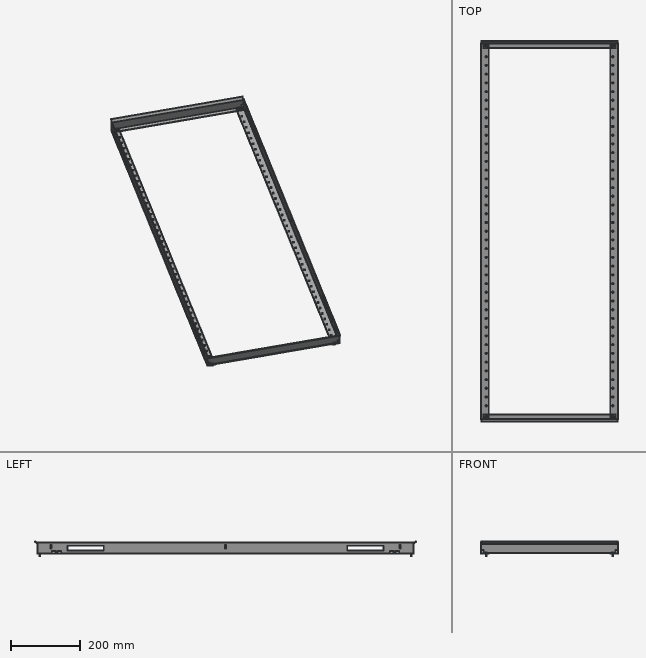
import cadquery as cq
import math

length = 1090.0
width = 392.0
sheet = 1.5

rail_height = 33.0
rail_flange = 23.0
lip_rise = 7.1
rail_length = length - 2 * lip_rise

end_hole_y = 499.0
holes_per_side = 20
hole_diameter = 3.0
hole_inset = 15.0
hole_pitch = end_hole_y / holes_per_side

key_slot_width = 2.7
key_slot_height = 10.0
key_slot_z = 21.0

grip_length = 102.0
grip_height = 13.0
grip_y = 400.0
grip_z = 16.0

window_length = 10.0
window_height = 6.0
window_z = 4.9
window_ys = (475.0, 492.0)

end_flange = 14.0
lip_top = 36.0
end_width = width - 2 * sheet
notch_width = 5.0
notch_top = 11.0

screw_diameter = 3.0
screw_drop = 7.0
head_diameter = 9.0
head_height = 1.5
screw_x = width / 2 - hole_inset
screw_y = rail_length / 2 - 7.0


def screw_holes():
    """Cutter for the four corner screws."""
    return (
        cq.Workplane("XY")
        .rect(2 * screw_x, 2 * screw_y, forConstruction=True)
        .vertices()
        .circle(screw_diameter / 2)
        .extrude(2 * sheet)
    )


def make_side_rail(side):
    """Side rail on the -X (side = -1) or +X (side = 1) side."""
    outer_x = side * width / 2
    wall = (
        cq.Workplane("XY")
        .box(sheet, rail_length, rail_height, centered=(True, True, False))
        .translate((outer_x - side * sheet / 2, 0, 0))
    )
    flange = (
        cq.Workplane("XY")
        .box(rail_flange, rail_length, sheet, centered=(True, True, False))
        .translate((outer_x - side * rail_flange / 2, 0, 0))
    )

    row = [(side * screw_x, i * hole_pitch) for i in range(-holes_per_side, holes_per_side + 1)]
    flange_holes = cq.Workplane("XY").pushPoints(row).circle(hole_diameter / 2).extrude(sheet)

    grips = (
        cq.Workplane("YZ")
        .pushPoints([(-grip_y, grip_z), (grip_y, grip_z)])
        .rect(grip_length, grip_height)
        .extrude(width, both=True)
    )
    key_slots = (
        cq.Workplane("YZ")
        .pushPoints([(y, key_slot_z) for y in (-end_hole_y, 0, end_hole_y)])
        .slot2D(key_slot_height, key_slot_width, 90)
        .extrude(width, both=True)
    )
    windows = (
        cq.Workplane("YZ")
        .pushPoints([(end * y, window_z) for end in (-1, 1) for y in window_ys])
        .rect(window_length, window_height)
        .extrude(width, both=True)
    )
    rail = wall.union(flange)
    return rail.cut(flange_holes).cut(grips).cut(key_slots).cut(windows).cut(screw_holes())


def make_end_rail(end):
    """End rail at the -Y (end = -1) or +Y (end = 1) end, resting on the side flanges."""
    outer_y = rail_length / 2
    inner_y = outer_y - sheet
    lip_edge = sheet / math.sqrt(2)
    outer_bend_z = lip_top - lip_edge - lip_rise
    inner_bend_z = outer_bend_z + sheet * math.tan(math.pi / 8)
    section = [
        (outer_y - end_flange, sheet),
        (outer_y, sheet),
        (outer_y, outer_bend_z),
        (outer_y + lip_rise, outer_bend_z + lip_rise),
        (outer_y + lip_rise - lip_edge, lip_top),
        (inner_y, inner_bend_z),
        (inner_y, 2 * sheet),
        (outer_y - end_flange, 2 * sheet),
    ]
    profile = [(end * y, z) for y, z in section]
    rail = cq.Workplane("YZ").polyline(profile).close().extrude(end_width / 2, both=True)

    notches = (
        cq.Workplane("XZ")
        .pushPoints([(-end_width / 2, 0), (end_width / 2, 0)])
        .rect(2 * notch_width, 2 * notch_top)
        .extrude(length, both=True)
    )
    return rail.cut(notches).cut(screw_holes())


def make_screw(x, y):
    """Screw with its head on the end flange and its shank pointing down."""
    shank = cq.Workplane("XY").circle(screw_diameter / 2).extrude(2 * sheet + screw_drop)
    shank = shank.translate((0, 0, -screw_drop))
    head = cq.Workplane("XY", origin=(0, 0, 2 * sheet)).circle(head_diameter / 2).extrude(head_height)
    return shank.union(head).translate((x, y, 0))


side_rails = [make_side_rail(side) for side in (-1, 1)]
end_rails = [make_end_rail(end) for end in (-1, 1)]
screws = [make_screw(i * screw_x, j * screw_y) for i in (-1, 1) for j in (-1, 1)]

bodies = side_rails + end_rails + screws
result = cq.Compound.makeCompound([body.val() for body in bodies])